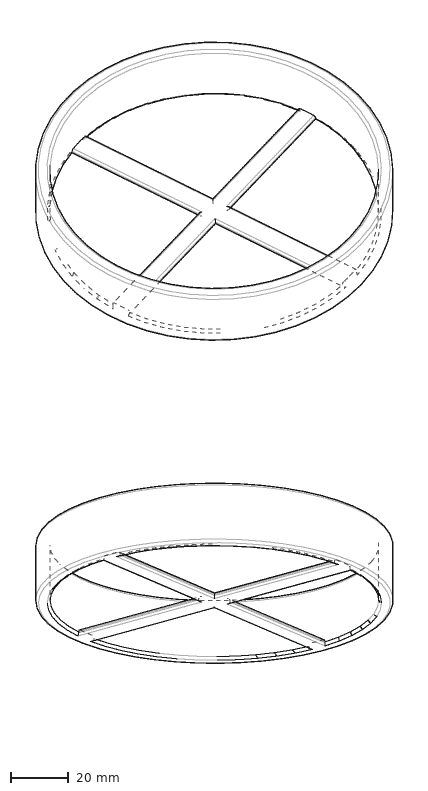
import cadquery as cq

outer_diameter = 124.0
bore_diameter = 114.0
height = 22.0
ring_edge_radius = 1.0

x_bar_width = 8.5
y_bar_width = 7.1
bar_thickness = 2.0
bar_edge_radius = 0.7

bar_length = (outer_diameter + bore_diameter) / 2


def make_ring():
    """Round wall with all four rim edges rounded."""
    ring = cq.Workplane("XY").circle(outer_diameter / 2).circle(bore_diameter / 2).extrude(height)
    return ring.edges("%CIRCLE").fillet(ring_edge_radius)


def make_cross():
    """Two crossing bars with rounded upper and lower edges."""
    x_bar = cq.Workplane("XY").rect(bar_length, x_bar_width).extrude(bar_thickness)
    y_bar = cq.Workplane("XY").rect(y_bar_width, bar_length).extrude(bar_thickness)
    return x_bar.union(y_bar).faces("<Z or >Z").edges().fillet(bar_edge_radius)


result = make_ring().union(make_cross())